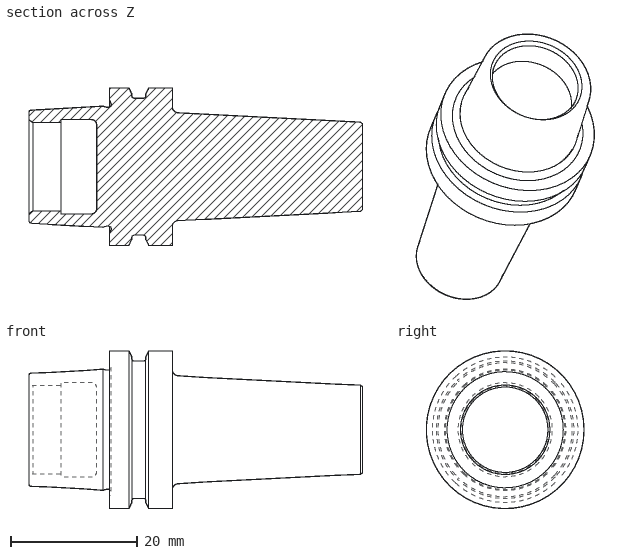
import cadquery as cq

LENGTH = 52.9
SHANK_END = 11.8
SHANK_CHAMFER_END = 12.05
RELIEF_START = 12.25
FLANGE_START = 12.75
FLANGE_END = 22.8
NECK_START = 23.75

FLANGE_RADIUS = 25.0 / 2
SHANK_TIP_RADIUS = 9.0
SHANK_END_RADIUS = 9.65
SHANK_CHAMFER_END_RADIUS = 9.5
RELIEF_RADIUS = 9.45
NECK_BASE_RADIUS = 8.55
NECK_TIP_RADIUS = 7.1
NECK_ROOT_RADIUS = 9.2
NECK_ROOT_FILLET = 1.0

SHANK_LIP = 0.4
NECK_TIP_CHAMFER = 0.3

GROOVE_START = 15.85
GROOVE_END = 19.0
GROOVE_FLANK_LENGTH = 0.5
GROOVE_WALL_TOP = 11.55
GROOVE_RADIUS = 10.9
GROOVE_FILLET = 0.3

UNDERCUT_START = 12.65
UNDERCUT_RADIUS = 10.65
UNDERCUT_BOTTOM_RADIUS = 10.0
UNDERCUT_DEPTH = 0.25

MOUTH_RADIUS = 7.45
MOUTH_DEPTH = 0.65
BORE_RADIUS = 7.0
SHOULDER_DEPTH = 5.15
CHAMBER_RADIUS = 7.45
CHAMBER_FILLET = 0.8
BORE_DEPTH = 10.75


def revolve_about_x(profile):
    return profile.close().revolve(360, (0, 0, 0), (1, 0, 0))


def shank_outline(profile):
    """Rounded lip, taper, chamfer and relief, up to the undercut in the flange face."""
    return (
        profile.lineTo(0, SHANK_TIP_RADIUS - SHANK_LIP)
        .radiusArc((SHANK_LIP, SHANK_TIP_RADIUS), SHANK_LIP)
        .lineTo(SHANK_END, SHANK_END_RADIUS)
        .lineTo(SHANK_CHAMFER_END, SHANK_CHAMFER_END_RADIUS)
        .tangentArcPoint((RELIEF_START, RELIEF_RADIUS), relative=False)
        .lineTo(UNDERCUT_START, RELIEF_RADIUS)
        .tangentArcPoint((FLANGE_START + UNDERCUT_DEPTH, UNDERCUT_BOTTOM_RADIUS), relative=False)
        .lineTo(FLANGE_START, UNDERCUT_RADIUS)
    )


def flange_outline(profile):
    """Flange with the gripper groove around its rim."""
    left_wall = GROOVE_START + GROOVE_FLANK_LENGTH
    right_wall = GROOVE_END - GROOVE_FLANK_LENGTH
    corner_radius = GROOVE_RADIUS + GROOVE_FILLET
    return (
        profile.lineTo(FLANGE_START, FLANGE_RADIUS)
        .lineTo(GROOVE_START, FLANGE_RADIUS)
        .lineTo(left_wall, GROOVE_WALL_TOP)
        .lineTo(left_wall, corner_radius)
        .radiusArc((left_wall + GROOVE_FILLET, GROOVE_RADIUS), -GROOVE_FILLET)
        .lineTo(right_wall - GROOVE_FILLET, GROOVE_RADIUS)
        .radiusArc((right_wall, corner_radius), -GROOVE_FILLET)
        .lineTo(right_wall, GROOVE_WALL_TOP)
        .lineTo(GROOVE_END, FLANGE_RADIUS)
        .lineTo(FLANGE_END, FLANGE_RADIUS)
    )


def neck_outline(profile):
    """Concave root, long taper and chamfered tip."""
    neck_end = LENGTH - NECK_TIP_CHAMFER
    return (
        profile.lineTo(FLANGE_END, NECK_ROOT_RADIUS)
        .radiusArc((NECK_START, NECK_BASE_RADIUS), -NECK_ROOT_FILLET)
        .lineTo(neck_end, NECK_TIP_RADIUS)
        .lineTo(LENGTH, NECK_TIP_RADIUS - NECK_TIP_CHAMFER)
        .lineTo(LENGTH, 0)
    )


def make_body():
    start = cq.Workplane("XY").moveTo(0, 0)
    return revolve_about_x(neck_outline(flange_outline(shank_outline(start))))


def make_bore():
    return revolve_about_x(
        cq.Workplane("XY")
        .moveTo(0, 0)
        .lineTo(0, MOUTH_RADIUS)
        .lineTo(MOUTH_DEPTH, BORE_RADIUS)
        .lineTo(SHOULDER_DEPTH, BORE_RADIUS)
        .lineTo(SHOULDER_DEPTH, CHAMBER_RADIUS)
        .lineTo(BORE_DEPTH - CHAMBER_FILLET, CHAMBER_RADIUS)
        .radiusArc((BORE_DEPTH, CHAMBER_RADIUS - CHAMBER_FILLET), CHAMBER_FILLET)
        .lineTo(BORE_DEPTH, 0)
    )


result = make_body().cut(make_bore())